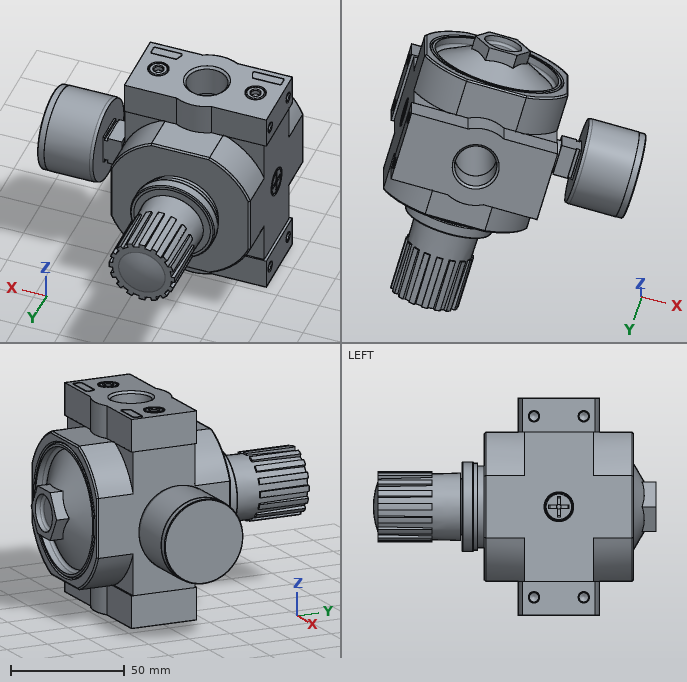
import cadquery as cq
import math


housing_half = 33.0
housing_round_r = 35.8
housing_band_half = 15.2
housing_chamfer = 0.8

assembly_half_height = 48.0
plate_left_overhang = 1.2
plate_half_width = 16.0
plate_bulge_r = 18.0
port_d = 18.6
port_mouth_d = 20.8
label_inset = 2.8
label_front = -13.5
label_width = 4.4
label_depth = 0.2
label_slant = 1.2
label_fillet = 0.8
left_label_length = 14.6
right_label_length = 13.5

drill_d = 4.1
drill_mouth_d = 5.0
drill_point_angle = 118.0
side_hole_depth = 8.8
side_hole_y = 11.0
side_hole_z = 40.0

screw_x = 23.0
screw_d = 8.8
screw_seat_mouth_d = 9.5
screw_length = 7.5
screw_socket_depth = 2.5

joint_chamfer = 0.5
plug_d = 12.2
plug_mouth_d = 13.1
plug_length = 6.2
plug_slot_length = 9.1
plug_slot_width = 1.4
plug_slot_depth = 0.6
plug_hub_d = 2.0

cap_r = 30.2
cap_chamfer = 0.6
cap_length = 11.2
cap_dish_r = 28.5
cap_fillet = 1.5
cone_base_depth = 4.5
cone_base_r = 27.0
cone_angle = 30.0
hex_flats = 22.0
hex_turn = 90
hex_end_y = -43.0
hex_hole_d = 17.0
hex_hole_depth = 3.6
hex_hole_fillet = 1.2

neck_r = 18.1
flange_r = 19.2
flange_start_y = 35.9
flange_end_y = 37.6
nut_r = 19.9
nut_end_y = 42.9
nut_chamfer = 0.5

knob_stem_d = 24.9
knob_start_y = 43.4
rib_start_y = 56.0
knob_end_y = 80.0
knob_top_y = 82.0
knob_d = 30.0
knob_end_d = 28.0
knob_rib_d = 31.1
knob_dome_d = 22.0
rib_count = 16
rib_width = 2.8

gauge_stem_d = 13.1
gauge_block_x = 37.6
gauge_case_x = 46.6
gauge_bezel_x = 69.6
gauge_end_x = 72.9
gauge_block_side = 14.0
gauge_groove_x = 44.4
gauge_groove_width = 1.5
gauge_neck = 11.0
gauge_r = 19.5
gauge_bezel_r = 19.4
gauge_back_length = 1.5
gauge_back_step = 0.4

plate_thickness = assembly_half_height - housing_half


def turned_y(points):
    """Solid of revolution about Y from (radius, y) points."""
    return cq.Workplane("XY").polyline(points).close().revolve(360, (0, 0, 0), (0, 1, 0))


def disc(plane, center, radius, length):
    """Cylinder that starts at a point and runs along the normal of the plane."""
    return cq.Workplane(plane, origin=center).circle(radius).extrude(length)


def drilled_hole(depth):
    """Cutter for a countersunk hole with a drill point; its mouth is at the origin, running to -Z."""
    drill_r = drill_d / 2
    mouth_r = drill_mouth_d / 2
    tip = drill_r / math.tan(math.radians(drill_point_angle / 2))
    profile = [
        (0, 0),
        (mouth_r, 0),
        (drill_r, drill_r - mouth_r),
        (drill_r, -depth),
        (0, -depth - tip),
    ]
    return cq.Workplane("XZ").polyline(profile).close().revolve(360, (0, 0, 0), (0, 1, 0))


def countersunk_recess(bore_d, mouth_d, depth):
    """Cutter for a round recess with a chamfered mouth; its mouth is at the origin, running to -Z."""
    bore_r = bore_d / 2
    mouth_r = mouth_d / 2
    profile = [
        (0, 0),
        (mouth_r, 0),
        (bore_r, bore_r - mouth_r),
        (bore_r, -depth),
        (0, -depth),
    ]
    return cq.Workplane("XZ").polyline(profile).close().revolve(360, (0, 0, 0), (0, 1, 0))


def make_housing():
    side = 2 * housing_half
    rounded = cq.Workplane("XY").box(side, side, side).intersect(
        disc("XZ", (0, housing_half, 0), housing_round_r, side)
    )
    rounded = rounded.faces("<Y or >Y").chamfer(housing_chamfer)
    band = cq.Workplane("XY").box(side, 2 * housing_band_half, side)
    neck = turned_y([
        (0, 0),
        (neck_r, 0),
        (neck_r, flange_start_y),
        (flange_r, flange_start_y),
        (flange_r, flange_end_y),
        (neck_r, flange_end_y),
        (neck_r, nut_end_y),
        (0, nut_end_y),
    ])
    port = cq.Workplane("XY").circle(port_d / 2).extrude(housing_half, both=True)
    cap_seat = (
        countersunk_recess(2 * cap_r, 2 * (cap_r + cap_chamfer), cap_length)
        .rotate((0, 0, 0), (1, 0, 0), 90)
        .translate((0, -housing_half, 0))
    )
    plug_seat = (
        countersunk_recess(plug_d, plug_mouth_d, plug_length)
        .rotate((0, 0, 0), (0, 1, 0), -90)
        .translate((-housing_half, 0, 0))
    )
    return rounded.union(band).union(neck).cut(port).cut(cap_seat).cut(plug_seat)


def make_blank_plate():
    """Plate on the +Z side with its port and the two mounting holes in its -X end."""
    left_x = -housing_half - plate_left_overhang
    plate = (
        cq.Workplane("XY", origin=(0, 0, housing_half))
        .center((left_x + housing_half) / 2, 0)
        .rect(housing_half - left_x, 2 * plate_half_width)
        .extrude(plate_thickness)
        .union(disc("XY", (0, 0, housing_half), plate_bulge_r, plate_thickness))
    )
    port = countersunk_recess(port_d, port_mouth_d, plate_thickness)
    plate = plate.cut(port.translate((0, 0, assembly_half_height)))
    side_hole = drilled_hole(side_hole_depth).rotate((0, 0, 0), (0, 1, 0), -90)
    for y in (-side_hole_y, side_hole_y):
        plate = plate.cut(side_hole.translate((left_x, y, side_hole_z)))
    return plate


def label_recess(outer_x, length, direction):
    """Cutter for a label field whose slanted end faces the port; direction is +1 toward +X."""
    inner_x = outer_x + direction * length
    return (
        cq.Workplane("XY", origin=(0, 0, assembly_half_height - label_depth))
        .moveTo(outer_x, label_front)
        .lineTo(inner_x, label_front)
        .lineTo(inner_x, label_front + label_slant)
        .lineTo(inner_x - direction * label_slant, label_front + label_width)
        .lineTo(outer_x, label_front + label_width)
        .close()
        .extrude(2 * label_depth)
        .edges("|Z")
        .fillet(label_fillet)
    )


def make_top_plate():
    left_x = -housing_half - plate_left_overhang
    plate = make_blank_plate()
    plate = plate.cut(label_recess(left_x + label_inset, left_label_length, 1))
    plate = plate.cut(label_recess(housing_half - label_inset, right_label_length, -1))
    seat = countersunk_recess(screw_d, screw_seat_mouth_d, screw_length)
    for x in (-screw_x, screw_x):
        plate = plate.cut(seat.translate((x, 0, assembly_half_height)))
    return plate


def make_bottom_plate():
    return make_blank_plate().mirror("XY")


def make_screw(x):
    screw = (
        disc("XY", (x, 0, assembly_half_height - screw_length), screw_d / 2, screw_length)
        .faces(">Z")
        .chamfer(joint_chamfer)
    )
    return screw.cut(drilled_hole(screw_socket_depth).translate((x, 0, assembly_half_height)))


def make_plug():
    plug = (
        disc("YZ", (-housing_half, 0, 0), plug_d / 2, plug_length)
        .faces("<X")
        .chamfer(joint_chamfer)
    )
    half_length = plug_slot_length / 2
    slot = (
        cq.Workplane("XZ", origin=(-housing_half, plug_slot_width / 2, 0))
        .polyline([
            (0, -half_length),
            (0, half_length),
            (plug_slot_depth, half_length - plug_slot_depth),
            (plug_slot_depth, plug_slot_depth - half_length),
        ])
        .close()
        .extrude(plug_slot_width)
    )
    hub = disc("YZ", (-housing_half, 0, 0), plug_hub_d / 2, plug_slot_depth)
    cross = slot.union(slot.rotate((0, 0, 0), (1, 0, 0), 90))
    return plug.cut(cross).union(hub)


def make_cap():
    face_y = -housing_half
    dish_y = face_y + cone_base_depth
    cone_tip_y = dish_y - cone_base_r * math.tan(math.radians(cone_angle))
    fillet_mid = cap_fillet * math.sqrt(0.5)
    body = (
        cq.Workplane("XY")
        .moveTo(0, face_y + cap_length)
        .lineTo(cap_r, face_y + cap_length)
        .lineTo(cap_r, face_y + cap_chamfer)
        .lineTo(cap_r - cap_chamfer, face_y)
        .lineTo(cap_dish_r, face_y)
        .lineTo(cap_dish_r, dish_y - cap_fillet)
        .threePointArc(
            (cap_dish_r - cap_fillet + fillet_mid, dish_y - cap_fillet + fillet_mid),
            (cone_base_r, dish_y),
        )
        .lineTo(0, cone_tip_y)
        .close()
        .revolve(360, (0, 0, 0), (0, 1, 0))
    )
    hexagon = (
        cq.Workplane("XZ", origin=(0, dish_y, 0))
        .polygon(6, hex_flats, circumscribed=True)
        .extrude(dish_y - hex_end_y)
        .rotate((0, 0, 0), (0, 1, 0), hex_turn)
    )
    hex_hole = (
        disc("XZ", (0, hex_end_y + hex_hole_depth, 0), hex_hole_d / 2, 2 * hex_hole_depth)
        .faces(">Y")
        .edges()
        .fillet(hex_hole_fillet)
    )
    return body.union(hexagon).cut(hex_hole)


def make_nut():
    return turned_y([
        (neck_r, flange_end_y),
        (nut_r - nut_chamfer, flange_end_y),
        (nut_r, flange_end_y + nut_chamfer),
        (nut_r, nut_end_y - nut_chamfer),
        (nut_r - nut_chamfer, nut_end_y),
        (neck_r, nut_end_y),
    ])


def make_knob():
    dome_r = knob_dome_d / 2
    dome_height = knob_top_y - knob_end_y
    sphere_r = (dome_r**2 + dome_height**2) / (2 * dome_height)
    arc_angle = math.asin(dome_r / sphere_r) / 2
    arc_middle = (
        sphere_r * math.sin(arc_angle),
        knob_top_y - sphere_r * (1 - math.cos(arc_angle)),
    )
    body = (
        cq.Workplane("XY")
        .moveTo(0, nut_end_y)
        .lineTo(knob_stem_d / 2, nut_end_y)
        .lineTo(knob_stem_d / 2, knob_start_y)
        .lineTo(knob_d / 2, knob_start_y)
        .lineTo(knob_end_d / 2, knob_end_y)
        .lineTo(dome_r, knob_end_y)
        .threePointArc(arc_middle, (0, knob_top_y))
        .close()
        .revolve(360, (0, 0, 0), (0, 1, 0))
    )
    rib_length = knob_end_y - rib_start_y
    rib_bar = (
        cq.Workplane("XY", origin=(0, rib_start_y, 0))
        .box(knob_rib_d, rib_length, rib_width, centered=(False, False, True))
    )
    rib = rib_bar.intersect(disc("XZ", (0, knob_end_y, 0), knob_rib_d / 2, rib_length))
    for i in range(rib_count):
        body = body.union(rib.rotate((0, 0, 0), (0, 1, 0), i * 360 / rib_count))
    return body


def make_gauge():
    stem = disc("YZ", (housing_half, 0, 0), gauge_stem_d / 2, gauge_block_x - housing_half)
    block_length = gauge_case_x - gauge_block_x
    block = cq.Workplane("XY").box(block_length, gauge_block_side, gauge_block_side)
    block = block.translate((gauge_block_x + block_length / 2, 0, 0))
    groove_depth = (gauge_block_side - gauge_neck) / 2
    groove = cq.Workplane("XY", origin=(gauge_groove_x, 0, gauge_neck / 2)).box(
        gauge_groove_width, gauge_block_side, groove_depth, centered=(False, True, False)
    )
    block = block.cut(groove).cut(groove.mirror("XY"))
    case = cq.Workplane("XY").polyline([
        (gauge_case_x, 0),
        (gauge_case_x, gauge_r - gauge_back_step),
        (gauge_case_x + gauge_back_length, gauge_r),
        (gauge_bezel_x, gauge_r),
        (gauge_bezel_x, gauge_bezel_r),
        (gauge_end_x - gauge_back_step, gauge_bezel_r),
        (gauge_end_x, gauge_bezel_r - gauge_back_step),
        (gauge_end_x, 0),
    ]).close().revolve(360, (0, 0, 0), (1, 0, 0))
    return stem.union(block).union(case)


housing = make_housing()
top_plate = make_top_plate()
bottom_plate = make_bottom_plate()
screws = [make_screw(x) for x in (-screw_x, screw_x)]
plug = make_plug()
cap = make_cap()
nut = make_nut()
knob = make_knob()
gauge = make_gauge()

result = cq.Compound.makeCompound([
    housing.val(),
    top_plate.val(),
    bottom_plate.val(),
    *[screw.val() for screw in screws],
    plug.val(),
    cap.val(),
    nut.val(),
    knob.val(),
    gauge.val(),
])